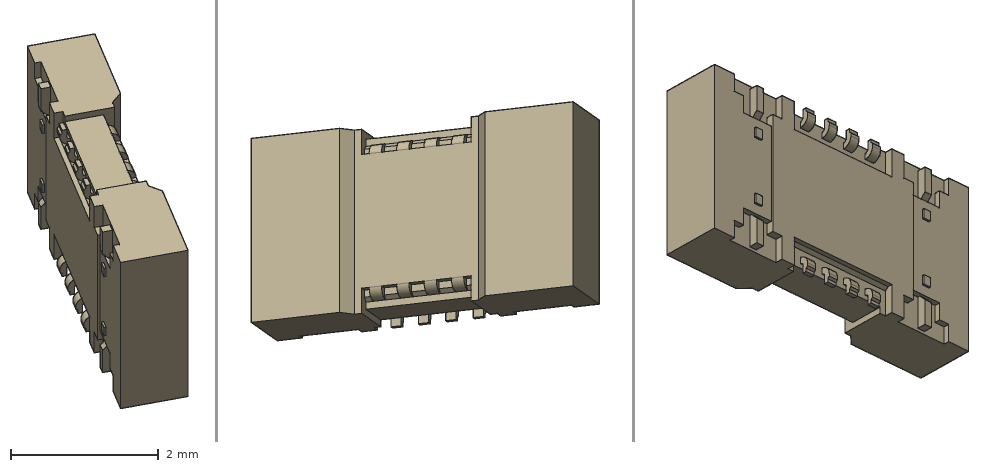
import cadquery as cq
import math


length = 4.7
width = 2.6
depth = 1.0
back_y = depth / 2
half_width = width / 2

body_front = 0.95
plate_front = 0.98
corner_floor = 0.86
recess_floor = 0.855

waist_half_length = 0.8
waist_inset = 0.1
waist_side_z = half_width - waist_inset
lip_drop = 0.1
lip_z = waist_side_z - lip_drop
back_notch_depth = 0.155
back_notch_half_length = 0.905
edge_step = 0.1
edge_chamfer = 0.055

plate_half_length = 1.3
plate_tab_half_length = 1.13
plate_shoulder_z = 0.93

corner_outer_x = 1.98
corner_step_x = 1.81
corner_step_z = 1.025
corner_inner_z = 0.755

recess_half_length = 0.9
recess_wall_z = 0.855
recess_slope = 0.05

contact_pitch = 0.4
contact_count = 4
contact_positions = [(i - (contact_count - 1) / 2) * contact_pitch for i in range(contact_count)]
tail_width = 0.15
tail_bend_z = 1.175
tail_outer_radius = depth - recess_floor
tail_inner_radius = 0.05
tail_flat = 0.045
tail_tip_chamfer = 0.03
back_contact_width = 0.18
back_contact_radius = edge_step + edge_chamfer

bar_x = 1.555
bar_width = 0.12
bar_outer_z = 1.25
bar_inner_z = 0.855
pad_inner_z = 0.45
pad_outer_z = 0.6

diagonal = math.sqrt(0.5)
embed = 0.1


def block(x_range, depth_range, z_range):
    """Box between two X values, two depths and two Z values."""
    size_x = x_range[1] - x_range[0]
    size_y = depth_range[1] - depth_range[0]
    size_z = z_range[1] - z_range[0]
    box = cq.Workplane("XY").box(size_x, size_y, size_z, centered=False)
    return box.translate((x_range[0], back_y - depth_range[1], z_range[0]))


def side_profile():
    """YZ sketch plane whose first axis is the depth from the back face."""
    return cq.Workplane(cq.Plane(origin=(0, back_y, 0), xDir=(0, -1, 0), normal=(-1, 0, 0)))


def extrude_at(profile, x_center, x_width):
    """Extrude a side profile along X, centred on x_center."""
    return profile.extrude(x_width / 2, both=True).translate((x_center, 0, 0))


def on_both_sides(piece):
    """The piece together with its mirror image at -Z."""
    return piece.union(piece.mirror("XY"))


def on_four_corners(piece):
    """The piece repeated at both ends and on both sides."""
    return on_both_sides(piece.union(piece.mirror("YZ")))


def make_body():
    """Full block with the stepped plate raised on its front."""
    half_length = length / 2
    body = block((-half_length, half_length), (0, body_front), (-half_width, half_width))
    center = block(
        (-plate_half_length, plate_half_length),
        (back_notch_depth, plate_front),
        (-plate_shoulder_z, plate_shoulder_z),
    )
    tab = block(
        (-plate_tab_half_length, plate_tab_half_length),
        (back_notch_depth, plate_front),
        (-half_width, half_width),
    )
    return body.union(center).union(tab)


def make_corner_recess():
    """Stepped corner recess cut, down to the corner floor."""
    levels = (corner_floor, depth)
    outer = block((plate_half_length, corner_outer_x), levels, (corner_step_z, half_width))
    inner = block((plate_half_length, corner_step_x), levels, (corner_inner_z, half_width))
    beside_tab = block((plate_tab_half_length, plate_half_length), levels, (plate_shoulder_z, half_width))
    return outer.union(inner).union(beside_tab)


def make_back_notch():
    """Notch across the back with sloped ends."""
    top_half_length = back_notch_half_length + back_notch_depth
    outline = [
        (-top_half_length, back_y),
        (-back_notch_half_length, back_y - back_notch_depth),
        (back_notch_half_length, back_y - back_notch_depth),
        (top_half_length, back_y),
    ]
    return cq.Workplane("XY").polyline(outline).close().extrude(half_width, both=True)


def make_waist_cut():
    """Cut that forms a waist side, with a ledge and a chamfered lip toward the back."""
    step_depth = back_notch_depth + edge_step
    outline = [
        (0, half_width),
        (depth, half_width),
        (depth, waist_side_z),
        (step_depth + edge_chamfer, waist_side_z),
        (step_depth + edge_chamfer, lip_z),
        (step_depth, lip_z - edge_chamfer),
        (step_depth, lip_z - back_contact_radius),
        (0, lip_z - back_contact_radius),
    ]
    return extrude_at(side_profile().polyline(outline).close(), 0, 2 * waist_half_length)


def make_contact_recess():
    """Recess in the plate edge whose inner wall slopes near the floor."""
    outline = [
        (recess_floor, half_width),
        (recess_floor, recess_wall_z + recess_slope),
        (recess_floor + recess_slope, recess_wall_z),
        (depth, recess_wall_z),
        (depth, half_width),
    ]
    return extrude_at(side_profile().polyline(outline).close(), 0, 2 * recess_half_length)


def make_tail(x):
    """Solder tail bent a quarter turn out of the recess floor."""
    flat_end_z = tail_bend_z + tail_flat
    profile = (
        side_profile()
        .moveTo(recess_floor - embed, tail_bend_z - tail_outer_radius)
        .lineTo(recess_floor, tail_bend_z - tail_outer_radius)
        .threePointArc(
            (recess_floor + tail_outer_radius * diagonal, tail_bend_z - tail_outer_radius * diagonal),
            (depth, tail_bend_z),
        )
        .lineTo(depth, flat_end_z)
        .lineTo(depth - tail_tip_chamfer, flat_end_z + tail_tip_chamfer)
        .lineTo(depth - tail_tip_chamfer, half_width)
        .lineTo(recess_floor + tail_inner_radius, half_width)
        .lineTo(recess_floor + tail_inner_radius, tail_bend_z)
        .threePointArc(
            (recess_floor + tail_inner_radius * diagonal, tail_bend_z - tail_inner_radius * diagonal),
            (recess_floor, tail_bend_z - tail_inner_radius),
        )
        .lineTo(recess_floor - embed, tail_bend_z - tail_inner_radius)
        .close()
    )
    return extrude_at(profile, x, tail_width)


def make_back_contact(x):
    """Contact rounded over the lip at the back of the waist."""
    axis_depth = back_notch_depth + back_contact_radius
    axis_z = lip_z - back_contact_radius
    profile = (
        side_profile()
        .moveTo(axis_depth, lip_z)
        .threePointArc(
            (axis_depth - back_contact_radius * diagonal, axis_z + back_contact_radius * diagonal),
            (back_notch_depth, axis_z),
        )
        .lineTo(back_notch_depth, axis_z - embed)
        .lineTo(axis_depth, axis_z - embed)
        .close()
    )
    return extrude_at(profile, x, back_contact_width)


def make_bar():
    """Retention bar standing in a corner recess, sloped at its inner end."""
    slope_rise = bar_inner_z - corner_inner_z
    outline = [
        (corner_floor - embed, bar_outer_z),
        (depth, bar_outer_z),
        (depth, bar_inner_z),
        (depth - slope_rise, corner_inner_z),
        (corner_floor - embed, corner_inner_z),
    ]
    return extrude_at(side_profile().polyline(outline).close(), bar_x, bar_width)


def make_pad():
    """Small raised pad on an end block."""
    x_range = (bar_x - bar_width / 2, bar_x + bar_width / 2)
    return block(x_range, (body_front - embed, plate_front), (pad_inner_z, pad_outer_z))


result = make_body()
result = result.cut(make_back_notch())
result = result.cut(on_both_sides(make_waist_cut()))
result = result.cut(on_both_sides(make_contact_recess()))
result = result.cut(on_four_corners(make_corner_recess()))
result = result.union(on_four_corners(make_bar()))
result = result.union(on_four_corners(make_pad()))
for contact_x in contact_positions:
    result = result.union(on_both_sides(make_tail(contact_x)))
    result = result.union(on_both_sides(make_back_contact(contact_x)))